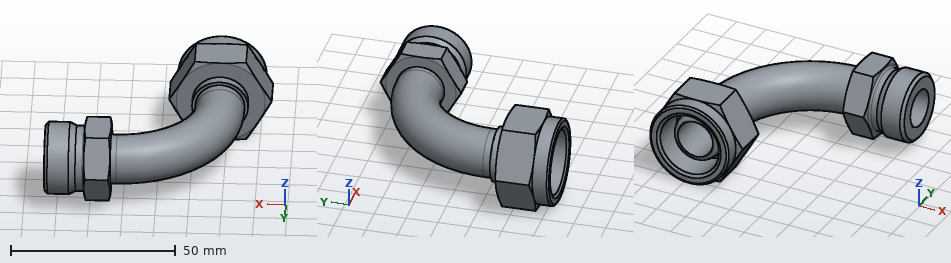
import cadquery as cq
import math


tube_diameter = 15.0
bore_diameter = 12.0
bend_radius = 30.0

male_hex_flats = 22.0
male_hex_start = 31.7
male_hex_end = 39.65
relief_diameter = 19.9
relief_shoulder_radius = 0.55
relief_end = 42.25
thread_start = 44.3
thread_diameter = 22.0
thread_chamfer = 1.0

nut_hex_flats = 27.0
nut_end = 52.15
nut_hex_start = 35.6
collar_length = 5.0
collar_diameter = nut_hex_flats
collar_chamfer_radial = 0.7
collar_chamfer_axial = 0.55
nut_bore_diameter = 20.05
nut_mouth_diameter = 22.1
mouth_angle = 30.0
nut_seat = 38.7
nut_hex_end = nut_end - collar_length

sleeve_diameter = 17.0
sleeve_start = 32.5
flange_diameter = 19.45
cone_base_diameter = 17.4
cone_half_angle = 12.0
nose_end = 47.8
nose_diameter = 15.35
nose_rounding = 1.4
cone_end = nose_end - nose_rounding
cone_length = (cone_base_diameter - nose_diameter) / 2 / math.tan(math.radians(cone_half_angle))
flange_end = cone_end - cone_length

corner_angle = 15.0

total_length = 67.3


def across_corners(flats):
    return flats / math.cos(math.pi / 6)


male_end = total_length - across_corners(nut_hex_flats) / 2


def spin_about_z(profile):
    """Turn a closed (radius, height) outline about the Z axis."""
    return profile.close().revolve(360, (0, 0, 0), (0, 1, 0)).rotate((0, 0, 0), (1, 0, 0), 90)


def disc(diameter, start, end):
    """Round bar on the Z axis between two heights."""
    return cq.Workplane("XY").workplane(offset=start).circle(diameter / 2).extrude(end - start)


def hexagon(flats, start, end):
    """Hexagonal prism along Z with both ends of its corners coned off."""
    corners = across_corners(flats)
    prism = cq.Workplane("XY").workplane(offset=start).polygon(6, corners).extrude(end - start)
    flat_radius = flats / 2
    corner_radius = corners / 2
    drop = (corner_radius - flat_radius) * math.tan(math.radians(corner_angle))
    envelope = spin_about_z(
        cq.Workplane("XY")
        .moveTo(0, start)
        .lineTo(flat_radius, start)
        .lineTo(corner_radius, start + drop)
        .lineTo(corner_radius, end - drop)
        .lineTo(flat_radius, end)
        .lineTo(0, end)
    )
    return prism.intersect(envelope)


def along_x(body):
    """Lay a Z-axis body along +X, with its X direction turned to Y."""
    return body.rotate((0, 0, 0), (0, 0, 1), 90).rotate((0, 0, 0), (0, 1, 0), 90)


def along_minus_y(body):
    """Lay a Z-axis body along -Y."""
    return body.rotate((0, 0, 0), (1, 0, 0), 90)


def bend(diameter):
    """Quarter torus joining the two straight ends."""
    return (
        cq.Workplane("XZ", origin=(0, -bend_radius, 0))
        .circle(diameter / 2)
        .revolve(90, (bend_radius, 0, 0), (bend_radius, -1, 0))
    )


def threaded_end():
    """Solid straight, hexagon, relief groove and thread barrel, along +X."""
    relief_radius = relief_diameter / 2
    thread_radius = thread_diameter / 2
    stub = spin_about_z(
        cq.Workplane("XY")
        .moveTo(0, male_hex_end)
        .lineTo(relief_radius + relief_shoulder_radius, male_hex_end)
        .radiusArc((relief_radius, male_hex_end + relief_shoulder_radius), relief_shoulder_radius)
        .lineTo(relief_radius, relief_end)
        .lineTo(thread_radius, thread_start)
        .lineTo(thread_radius, male_end - thread_chamfer)
        .lineTo(thread_radius - thread_chamfer, male_end)
        .lineTo(0, male_end)
    )
    straight = disc(tube_diameter, bend_radius, male_hex_start)
    collar = hexagon(male_hex_flats, male_hex_start, male_hex_end)
    return along_x(straight.union(collar).union(stub))


def nose_end_of_tube():
    """Solid straight, sleeve, retaining flange, cone and rounded nose, along -Y."""
    nose_radius = nose_diameter / 2
    tip = spin_about_z(
        cq.Workplane("XY")
        .moveTo(0, nut_seat)
        .lineTo(flange_diameter / 2, nut_seat)
        .lineTo(flange_diameter / 2, flange_end)
        .lineTo(cone_base_diameter / 2, flange_end)
        .lineTo(nose_radius, cone_end)
        .radiusArc((nose_radius - nose_rounding, nose_end), -nose_rounding)
        .lineTo(0, nose_end)
    )
    straight = disc(tube_diameter, bend_radius, sleeve_start)
    sleeve = disc(sleeve_diameter, sleeve_start, nut_seat)
    return along_minus_y(straight.union(sleeve).union(tip))


def make_elbow():
    """Bent tube with both its ends, bored right through."""
    outside = bend(tube_diameter).union(threaded_end()).union(nose_end_of_tube())
    male_bore = along_x(disc(bore_diameter, bend_radius, male_end))
    nose_bore = along_minus_y(disc(bore_diameter, bend_radius, nose_end))
    return outside.cut(bend(bore_diameter)).cut(male_bore).cut(nose_bore)


def make_nut():
    """Union nut whose inner shoulder rests against the back of the flange."""
    collar_radius = collar_diameter / 2
    mouth_widening = (nut_mouth_diameter - nut_bore_diameter) / 2
    mouth_depth = mouth_widening * math.tan(math.radians(mouth_angle))
    hex_part = hexagon(nut_hex_flats, nut_hex_start, nut_hex_end)
    collar = spin_about_z(
        cq.Workplane("XY")
        .moveTo(0, nut_hex_end)
        .lineTo(collar_radius, nut_hex_end)
        .lineTo(collar_radius, nut_end - collar_chamfer_axial)
        .lineTo(collar_radius - collar_chamfer_radial, nut_end)
        .lineTo(0, nut_end)
    )
    cavity = spin_about_z(
        cq.Workplane("XY")
        .moveTo(0, nut_seat)
        .lineTo(nut_bore_diameter / 2, nut_seat)
        .lineTo(nut_bore_diameter / 2, nut_end - mouth_depth)
        .lineTo(nut_mouth_diameter / 2, nut_end)
        .lineTo(0, nut_end)
    )
    sleeve_hole = disc(sleeve_diameter, nut_hex_start, nut_seat)
    return along_minus_y(hex_part.union(collar).cut(cavity).cut(sleeve_hole))


elbow = make_elbow().solids()
nut = make_nut().solids()
result = cq.Compound.makeCompound([elbow.val(), nut.val()])